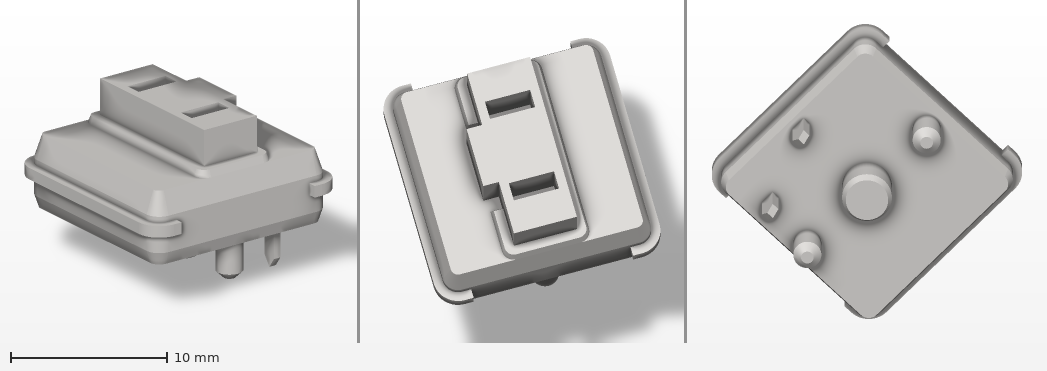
import cadquery as cq
import math


housing_width = 13.8
housing_corner = 1.0
lower_taper_height = 0.9
lower_taper_inset = 0.3
upper_taper_start = 3.4
upper_taper_inset = 0.52
housing_height = 5.0

flange_width = 15.0
flange_bottom = 2.2
flange_top = 3.0
flange_gap_length = 10.59

stem_length = 11.19
stem_depth = 4.18
stem_top = 8.0
stem_boss_width = 3.99
stem_boss_reach = 1.04
slot_width = 1.2
slot_length = 3.0
slot_spacing = 5.7
slot_depth = 3.0

collar_height = 0.5
collar_length = housing_width - 2 * upper_taper_inset
collar_depth = 5.78
collar_corner = 0.78
collar_inset = 0.18
notch_width = 5.65

pin_length = 2.62
pin_chamfer_height = 0.48
centre_pin_diameter = 3.2
centre_pin_chamfer = 0.24
side_pin_diameter = 1.8
side_pin_chamfer = 0.5
side_pin_offset = 5.48

terminal_width = 1.0
terminal_thickness = 0.51
terminal_length = 2.94
terminal_point_height = 0.69
terminal_places = [(0.0, 5.9), (5.0, 3.8)]


def rounded_block(length, depth, corner, bottom, top, inset=0.0):
    """Block with rounded corners, its sides leaning inward by `inset` on the way from bottom to top."""
    height = top - bottom
    lean = math.degrees(math.atan2(inset, abs(height)))
    outline = cq.Sketch().rect(length, depth).vertices().fillet(corner)
    return cq.Workplane("XY").workplane(offset=bottom).placeSketch(outline).extrude(height, taper=lean)


def box(length, depth, bottom, top, x=0.0, y=0.0):
    """Plain box centred on (x, y) that fills the heights from bottom to top."""
    return (
        cq.Workplane("XY")
        .workplane(offset=bottom)
        .center(x, y)
        .rect(length, depth)
        .extrude(top - bottom)
    )


def make_housing():
    def layer(bottom, top, inset=0.0):
        return rounded_block(housing_width, housing_width, housing_corner, bottom, top, inset)

    lower = layer(lower_taper_height, 0.0, lower_taper_inset)
    middle = layer(lower_taper_height, upper_taper_start)
    upper = layer(upper_taper_start, housing_height, upper_taper_inset)
    return middle.union(lower).union(upper)


def make_flange():
    corner = housing_corner + (flange_width - housing_width) / 2
    plate = rounded_block(flange_width, flange_width, corner, flange_bottom, flange_top)
    return plate.cut(box(flange_width, flange_gap_length, flange_bottom, flange_top))


def make_collar():
    top = housing_height + collar_height
    collar = rounded_block(collar_length, collar_depth, collar_corner, housing_height, top, collar_inset)

    half_bottom = notch_width / 2
    half_top = half_bottom + collar_inset
    notch = (
        cq.Workplane("XZ", origin=(0, stem_depth / 2, 0))
        .polyline([
            (-half_bottom, housing_height),
            (half_bottom, housing_height),
            (half_top, top),
            (-half_top, top),
        ])
        .close()
        .extrude(-(collar_depth - stem_depth) / 2)
    )
    return collar.cut(notch)


def make_stem():
    stem = box(stem_length, stem_depth, housing_height, stem_top)
    boss_y = (stem_depth + stem_boss_reach) / 2
    return stem.union(box(stem_boss_width, stem_boss_reach, housing_height, stem_top, y=boss_y))


def make_slot(x):
    return box(slot_width, slot_length, stem_top - slot_depth, stem_top, x=x)


def make_pin(diameter, chamfer, x=0.0):
    """Round pin hanging from the housing, with a cone-shaped lead-in at its tip."""
    pin = cq.Workplane("XY").center(x, 0).circle(diameter / 2).extrude(-pin_length)
    return pin.faces("<Z").chamfer(pin_chamfer_height, chamfer)


def make_terminal(x, y):
    half = terminal_width / 2
    shoulder = terminal_point_height - terminal_length
    return (
        cq.Workplane("XZ", origin=(x, y, 0))
        .polyline([
            (-half, 0),
            (half, 0),
            (half, shoulder),
            (0, -terminal_length),
            (-half, shoulder),
        ])
        .close()
        .extrude(terminal_thickness / 2, both=True)
    )


result = make_housing().union(make_flange()).union(make_collar()).union(make_stem())

for side in (-1, 1):
    result = result.cut(make_slot(side * slot_spacing / 2))
    result = result.union(make_pin(side_pin_diameter, side_pin_chamfer, side * side_pin_offset))

result = result.union(make_pin(centre_pin_diameter, centre_pin_chamfer))

for terminal_x, terminal_y in terminal_places:
    result = result.union(make_terminal(terminal_x, terminal_y))